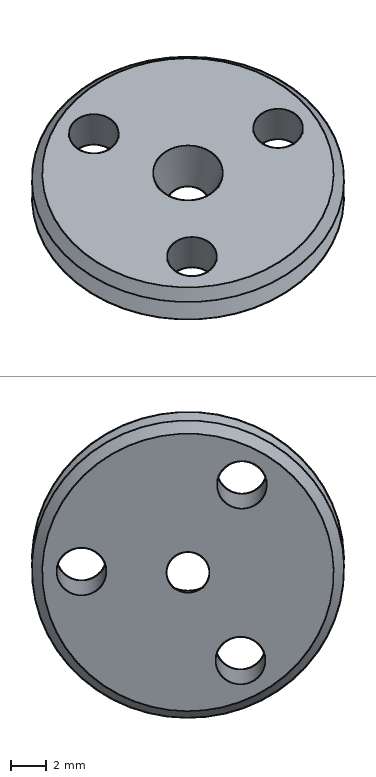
import cadquery as cq

outer_diameter = 17.6
thickness = 2.78
groove_depth = 0.8

groove_width = 2 * groove_depth
rim_bevel = (thickness - groove_width) / 2

bore_top_diameter = 3.93
bore_bottom_diameter = 2.4

side_hole_diameter = 2.8
side_hole_circle_radius = 6.0
side_hole_count = 3
first_hole_angle = 90.0

cut_margin = 1.0


def make_disc():
    """Disc with bevelled rims and a V-groove around its mid-height."""
    outer_radius = outer_diameter / 2
    face_radius = outer_radius - rim_bevel
    groove_root_radius = outer_radius - groove_depth
    half_section = [
        (0, 0),
        (face_radius, 0),
        (outer_radius, rim_bevel),
        (groove_root_radius, thickness / 2),
        (outer_radius, thickness - rim_bevel),
        (face_radius, thickness),
        (0, thickness),
    ]
    return cq.Workplane("XZ").polyline(half_section).close().revolve(360, (0, 0), (0, 1))


def make_tapered_bore():
    """Conical centre bore, narrowing from the top face to the bottom face."""
    return cq.Workplane("XY").add(
        cq.Solid.makeCone(bore_bottom_diameter / 2, bore_top_diameter / 2, thickness)
    )


def make_side_holes():
    """Straight through holes, evenly spaced around the centre."""
    return (
        cq.Workplane("XY", origin=(0, 0, -cut_margin))
        .polarArray(side_hole_circle_radius, first_hole_angle, 360, side_hole_count)
        .circle(side_hole_diameter / 2)
        .extrude(thickness + 2 * cut_margin)
    )


result = make_disc().cut(make_tapered_bore()).cut(make_side_holes())